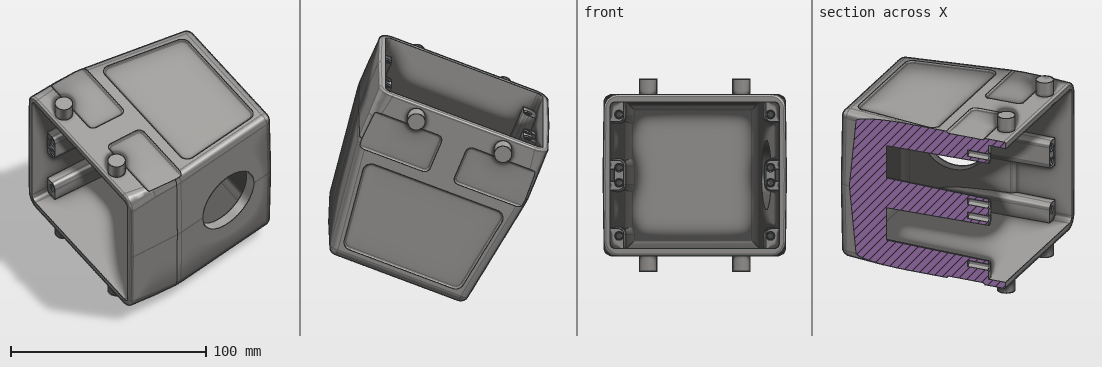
import cadquery as cq
import math

half_width = 47.0
half_height = 41.4
total_depth = 94.15
y_back = total_depth / 2
y_front = -y_back
side_slope = 8.0
mould_draft = 0.8
y_knee = -17.3
knee_radius = 21.0
y_rear_end = -18.7
edge_radius = 4.1
mid_corner_radius = 5.0
y_mid_corner = -32.0
front_corner_radius = 7.5
rim_fillet = 1.1

opening_half_width = 43.4
cavity_half_height = 37.6
y_floor = 43.5
y_inner_knee = -10.0
inner_knee_half_width = 43.0
entry_wall_step = 2.7
entry_step_length = 2.5
entry_step_fillet = 1.3
y_entry_step = -14.0
opening_corner_radius = 3.0
floor_fillet = 4.2

y_post = -37.6
post_draft = 1.0
post_hole_x = 38.8
post_edge_x = 36.4
post_margin = 3.7
post_corner_radius = 2.9
corner_hole_z = 31.1
middle_hole_z = 3.9
screw_hole_diameter = 3.2
screw_entry_diameter = 4.4
screw_hole_depth = 12.0
relief_edge_x = 41.0
relief_half_height = 3.3
relief_depth = 20.0
relief_draft = 1.0

entry_diameter = 35.4
entry_y = 15.5

recess_depth = 1.0
recess_wall_angle = 40.0
recess_fillet = 0.5
label_y_front = -8.1
label_y_back = 40.2
label_front_half_width = 39.1
label_corner_radius = 4.5
grip_y_front = -35.3
grip_y_back = -13.8
grip_inner_x = 6.7
grip_corner_radius = 3.2

pin_diameter = 9.0
pin_x = 23.9
pin_y = -40.6
pin_tip_z = 98.5 / 2

slope = math.tan(math.radians(side_slope))
draft_inset = half_height * math.tan(math.radians(mould_draft))
OVERRUN = 10.0


def section_plane(y):
    """Plane across the part at the given Y; local x is +X, local y is +Z, normal is -Y."""
    return cq.Plane(origin=(0, y, 0), xDir=(1, 0, 0), normal=(0, -1, 0))


def at_four_corners(x, z):
    """The point (x, z) mirrored into all four quadrants."""
    return [(sx * x, sz * z) for sx in (1, -1) for sz in (1, -1)]


def rear_shell():
    """Sloped rear section: a drafted prism with rounded back and long edges."""
    back_half_width = half_width - (y_back - y_knee) * slope
    y_start = y_front - OVERRUN
    outline = [
        (-half_width, y_start),
        (-half_width, y_knee),
        (-back_half_width, y_back),
        (back_half_width, y_back),
        (half_width, y_knee),
        (half_width, y_start),
    ]
    knee_zone = cq.selectors.BoxSelector(
        (-half_width, y_knee - 1, 0), (half_width, y_knee + 1, half_height))
    back_zone = cq.selectors.BoxSelector(
        (-half_width, y_back - 2, 0), (half_width, y_back, half_height))

    upper = cq.Workplane("XY").polyline(outline).close().extrude(half_height, taper=mould_draft)
    upper = upper.edges("not #Z").edges(knee_zone).fillet(knee_radius)
    upper = upper.edges("not #Z").edges(back_zone).fillet(edge_radius)
    upper = upper.faces(">Z").edges("not <Y").fillet(edge_radius)

    front_cut = cq.Workplane("XY").box(
        4 * half_width, total_depth, 4 * half_height).translate((0, y_rear_end - total_depth / 2, 0))
    upper = upper.cut(front_cut)
    return upper.union(upper.mirror("XY"))


def front_section(corner_radius):
    """Rectangle with a slight crown at mid-height and rounded corners."""
    top_half_width = half_width - draft_inset
    outline = [
        (half_width, 0),
        (top_half_width, half_height),
        (-top_half_width, half_height),
        (-half_width, 0),
        (-top_half_width, -half_height),
        (top_half_width, -half_height),
        (half_width, 0),
    ]
    return cq.Sketch().polygon(outline).vertices(">Y or <Y").fillet(corner_radius)


def front_shell():
    """Straight front section whose corner radius grows towards the opening."""
    mid_offset = y_rear_end - y_mid_corner
    front_offset = y_mid_corner - y_front
    return (
        cq.Workplane(section_plane(y_rear_end))
        .placeSketch(
            front_section(edge_radius),
            front_section(mid_corner_radius).moved(cq.Location(cq.Vector(0, 0, mid_offset))),
            front_section(front_corner_radius).moved(
                cq.Location(cq.Vector(0, 0, mid_offset + front_offset))),
        )
        .loft(ruled=True)
    )


def screw_post(x_side, z_low, z_high):
    """Drafted post along Y, standing on the floor and merging into the side wall."""
    x_inner = x_side * post_edge_x
    x_outer = x_side * (half_width + OVERRUN)
    width = abs(x_outer - x_inner)
    height = z_high - z_low
    plane = cq.Plane(
        origin=((x_inner + x_outer) / 2, y_post, (z_low + z_high) / 2),
        xDir=(-1, 0, 0), normal=(0, 1, 0))
    return (
        cq.Workplane(plane)
        .sketch()
        .rect(width, height)
        .vertices(">X" if x_side > 0 else "<X")
        .fillet(post_corner_radius)
        .finalize()
        .extrude(y_back - y_post, taper=-post_draft)
    )


def cavity():
    """Inner space, including the posts left standing in it."""
    taper = (y_floor - y_inner_knee) * slope
    entry_half_width = inner_knee_half_width - entry_wall_step
    step_half_width = entry_half_width + (y_inner_knee - y_entry_step) * slope
    outline = [
        (-opening_half_width, y_front),
        (-inner_knee_half_width, y_inner_knee),
        (-inner_knee_half_width + taper, y_floor),
        (entry_half_width - taper, y_floor),
        (step_half_width, y_entry_step),
        (inner_knee_half_width, y_entry_step - entry_step_length),
        (opening_half_width, y_front),
    ]
    space = (
        cq.Workplane("XY").workplane(offset=-cavity_half_height)
        .polyline(outline).close().extrude(2 * cavity_half_height)
    )
    step_zone = cq.selectors.BoxSelector(
        (step_half_width - 1, y_entry_step - entry_step_length - 1, -half_height),
        (half_width, y_entry_step + 1, half_height))
    front_zone = cq.selectors.BoxSelector(
        (-half_width, y_front - 1, -half_height), (half_width, y_entry_step - 5, half_height))
    space = space.edges("#Z").edges(front_zone).edges("not |X").fillet(opening_corner_radius)

    beyond_wall = half_height + OVERRUN
    for x_side in (1, -1):
        space = space.cut(screw_post(x_side, -middle_hole_z - post_margin, middle_hole_z + post_margin))
        space = space.cut(screw_post(x_side, corner_hole_z - post_margin, beyond_wall))
        space = space.cut(screw_post(x_side, -beyond_wall, -corner_hole_z + post_margin))
    space = space.edges("|Z").edges(step_zone).fillet(entry_step_fillet)
    return space.faces(">Y").edges().fillet(floor_fillet)


def screw_holes():
    """Blind holes with a conical entry in the front faces of the posts."""
    entry_depth = (screw_entry_diameter - screw_hole_diameter) / 2
    points = at_four_corners(post_hole_x, corner_hole_z) + at_four_corners(post_hole_x, middle_hole_z)
    front = cq.Workplane(section_plane(y_post)).pushPoints(points)
    holes = front.circle(screw_hole_diameter / 2).extrude(-screw_hole_depth)
    entry = cq.Solid.makeCone(
        screw_entry_diameter / 2, screw_hole_diameter / 2, entry_depth,
        pnt=cq.Vector(0, 0, 0), dir=cq.Vector(0, 0, -1))
    entries = front.eachpoint(lambda place: entry.moved(place), useLocalCoordinates=True)
    return holes.union(entries)


def post_reliefs():
    """Notches that part the tips of the middle posts from the side walls."""
    width = opening_half_width - relief_edge_x
    centre_x = relief_edge_x + width / 2
    return (
        cq.Workplane(section_plane(y_post))
        .pushPoints([(centre_x, 0), (-centre_x, 0)])
        .rect(width, 2 * relief_half_height)
        .extrude(-relief_depth, taper=relief_draft)
    )


def cable_entry():
    """Round hole through the +X wall, square to the sloped wall."""
    wall_x = inner_knee_half_width - entry_wall_step - (entry_y - y_inner_knee) * slope
    direction = (math.cos(math.radians(side_slope)), math.sin(math.radians(side_slope)), 0)
    plane = cq.Plane(origin=(wall_x, entry_y, 0), xDir=(0, 0, 1), normal=direction)
    return (
        cq.Workplane(plane).workplane(offset=-OVERRUN / 2)
        .circle(entry_diameter / 2).extrude(2.5 * OVERRUN)
    )


def recess(outline, corner_radius):
    """Shallow pocket with sloping walls, in both the +Z and the -Z face."""
    top = (
        cq.Workplane("XY").workplane(offset=half_height)
        .sketch().polygon(outline + outline[:1]).vertices().fillet(corner_radius).finalize()
        .extrude(-recess_depth, taper=recess_wall_angle)
        .faces("<Z").edges().fillet(recess_fillet)
    )
    return top.union(top.mirror("XY"))


def label_recess():
    """Large trapezoid panel whose sides follow the slope of the shell."""
    back_half_width = label_front_half_width - (label_y_back - label_y_front) * slope
    outline = [
        (-label_front_half_width, label_y_front),
        (label_front_half_width, label_y_front),
        (back_half_width, label_y_back),
        (-back_half_width, label_y_back),
    ]
    return recess(outline, label_corner_radius)


def grip_recess(x_side):
    """Panel behind a locking pin, running out through the rounded side edge."""
    x_inner = x_side * grip_inner_x
    x_outer = x_side * (half_width + OVERRUN)
    outline = [
        (x_inner, grip_y_front),
        (x_outer, grip_y_front),
        (x_outer, grip_y_back),
        (x_inner, grip_y_back),
    ]
    return recess(outline, grip_corner_radius)


def locking_pins():
    """Two pins on each of the +Z and -Z faces."""
    z_root = (half_height + cavity_half_height) / 2
    upper = (
        cq.Workplane("XY").workplane(offset=z_root)
        .pushPoints([(pin_x, pin_y), (-pin_x, pin_y)])
        .circle(pin_diameter / 2).extrude(pin_tip_z - z_root)
    )
    return upper.union(upper.mirror("XY"))


shell = rear_shell().union(front_shell())
shell = shell.faces("<Y").edges().fillet(rim_fillet)
shell = shell.cut(label_recess())
for side in (1, -1):
    shell = shell.cut(grip_recess(side))
shell = shell.cut(cavity())
shell = shell.cut(screw_holes()).cut(post_reliefs()).cut(cable_entry())
result = shell.union(locking_pins())